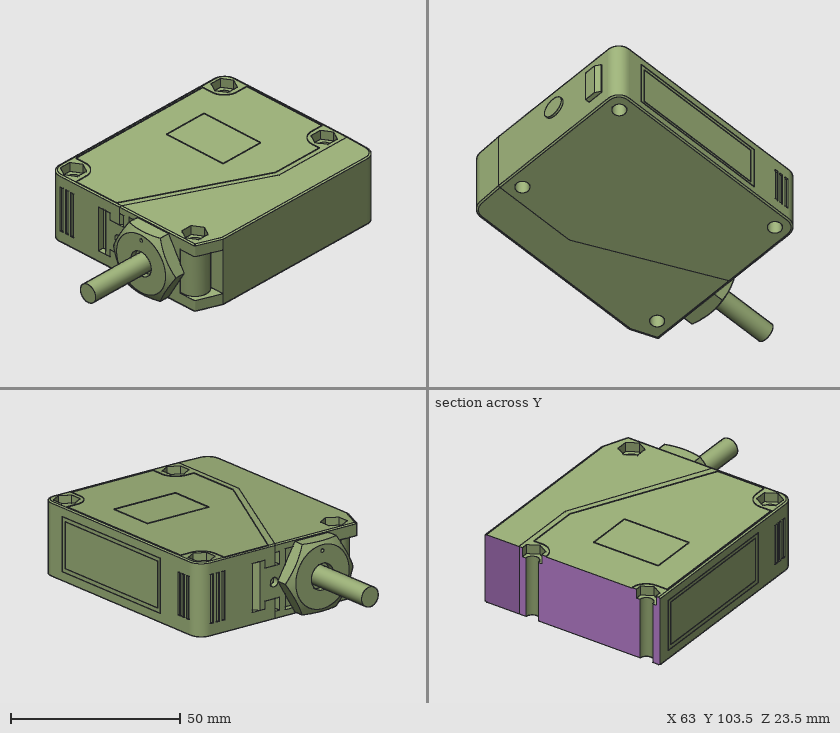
import cadquery as cq
import math


LENGTH = 63.0
DEPTH = 74.4
HEIGHT = 23.5
TOP = HEIGHT / 2
OVERALL = 103.5
CORNER_RADIUS = 4.3
CUT_WIDTH = 3.4
CUT_DEPTH = 8.6
CUT_EDGE_RADIUS = 0.6
BACK_DRAFT = 0.5
RIM_HEIGHT = 0.3
RIM_WIDTH = 0.6

SEAM_BACK_X = 50.8
SEAM_KNEE_Y = 45.1
SEAM_FRONT_X = 28.8
SEAM_SLOPE = (SEAM_BACK_X - SEAM_FRONT_X) / SEAM_KNEE_Y

SCREW_INSET = 5.1
SCREW_BACK_Y = 69.1
SCREW_RIGHT_FRONT_X = 54.9
SCREW_RIGHT_BACK_X = 46.1
HOUSING_SCREWS = [
    (SCREW_INSET, SCREW_INSET),
    (SCREW_INSET, SCREW_BACK_Y),
    (SCREW_RIGHT_BACK_X, SCREW_BACK_Y),
]
TERMINAL_SCREW = (SCREW_RIGHT_FRONT_X, SCREW_INSET)
SCREW_DIAMETER = 4.5
NUT_FLATS = 6.9
NUT_DEPTH = 3.1

LID_RECESS = 0.2
LID_LEFT = 1.1
LID_RIGHT = 49.0
LID_FRONT = 0.8
LID_BACK = DEPTH - 0.9
LID_KNEE_Y = 45.4
LID_FRONT_X = 26.8
SCREW_LAND_RADIUS = 5.1
WINDOW_LEFT = 11.1
WINDOW_FRONT = 38.4
WINDOW_SIZE = (23.2, 15.9)

LENS_CENTER_Y = 41.7
LENS_FRAME_SIZE = (46.6, 17.3)
LENS_SIZE = (43.9, 14.7)
LENS_STEP = 0.1

VENT_WIDTH = 1.1
VENT_PITCH = 2.2
VENT_COUNT = 3
VENT_DEPTH = 0.5
FRONT_VENT_START = 4.5
FRONT_VENT_HEIGHT = 15.3
SIDE_VENT_STARTS = [4.7, 6.8, 8.7]
SIDE_VENT_HEIGHT = 13.5

LATCH_LEFT = 20.2
LATCH_NECK_X = 24.9
LATCH_DEPTH = 2.1
LATCH_BAR_HEIGHT = 15.3
LATCH_NECK_HEIGHT = 10.4
LATCH_RAMP_FOOT = 21.2
LATCH_RAMP_HEAD = 23.1
LATCH_HOLE_X = 28.4
LATCH_HOLE_DIAMETER = 2.9
SEAM_POCKET_RIGHT = 30.4
SEAM_POCKET_HEIGHT = 4.0
SEAM_POCKET_DEPTH = (SEAM_POCKET_RIGHT - SEAM_FRONT_X) / SEAM_SLOPE

SLIDER_LEFT = 6.9
SLIDER_RAMP_HEAD = 8.7
SLIDER_RIGHT = 12.4
SLIDER_EDGE = 0.4
SLIDER_RISE = 1.5
SLIDER_HEIGHT = 12.4
DIAL_X = 27.0
DIAL_Z = 3.8
DIAL_DIAMETER = 7.1
DIAL_RISE = 0.7

GLAND_X = 42.5
GLAND_FLATS = 22.1
GLAND_LENGTH = 5.1
GLAND_FACE_RADIUS = 10.0
GLAND_CHAMFER = 1.6
GLAND_BORE = 8.4
GLAND_BORE_DEPTH = 2.1
GLAND_MARK_Z = 8.2
GLAND_MARK_DIAMETER = 1.0
CABLE_DIAMETER = 6.3
CABLE_END = DEPTH + SLIDER_RISE - OVERALL
GLAND_SEAT_LEFT = 32.6
GLAND_SEAT_HEIGHT = 19.1
GLAND_SEAT_DEPTH = 2.1

POCKET_LEFT = 53.5
POCKET_HEIGHT = 15.3
POCKET_BOSS_RADIUS = 4.7


def box(x, y, z):
    """Box between the (low, high) limits on each axis."""
    block = cq.Workplane("XY").box(x[1] - x[0], y[1] - y[0], z[1] - z[0], centered=False)
    return block.translate((x[0], y[0], z[0]))


def centred_in_z(height):
    return (-height / 2, height / 2)


def prism(points, height):
    """Closed XY outline, extruded evenly about Z = 0."""
    return cq.Workplane("XY").polyline(points).close().extrude(height / 2, both=True)


def rod(x, z, diameter, y_start, y_end):
    """Round rod along Y."""
    plane = cq.Workplane("XZ", origin=(x, y_start, z))
    return plane.circle(diameter / 2).extrude(y_start - y_end)


def screw_cutter(x, y):
    through = cq.Workplane("XY").center(x, y).circle(SCREW_DIAMETER / 2).extrude(TOP, both=True)
    hexagon_diameter = NUT_FLATS / math.cos(math.pi / 6)
    nut = cq.Workplane("XY", origin=(x, y, TOP)).transformed(rotate=(0, 0, 90))
    return through.union(nut.polygon(6, hexagon_diameter).extrude(-NUT_DEPTH))


def make_case():
    """Whole case block, before it is parted along the seam."""
    outline = [
        (0, 0),
        (LENGTH - CUT_WIDTH, 0),
        (LENGTH, CUT_DEPTH),
        (LENGTH, DEPTH - BACK_DRAFT),
        (SEAM_BACK_X, DEPTH),
        (0, DEPTH),
    ]
    case = prism(outline, HEIGHT)
    for x_side, y_side in (("<X", "<Y"), ("<X", ">Y"), (">X", ">Y")):
        case = case.edges("|Z").edges(x_side).edges(y_side).fillet(CORNER_RADIUS)
    case = case.edges("|Z").edges("<Y").edges(">X").fillet(CUT_EDGE_RADIUS)
    case = case.faces(">Z").edges().chamfer(RIM_WIDTH, RIM_HEIGHT)
    case = case.faces("<Z").edges().chamfer(RIM_HEIGHT, RIM_WIDTH)
    for x, y in [*HOUSING_SCREWS, TERMINAL_SCREW]:
        case = case.cut(screw_cutter(x, y))
    return case


def make_housing_region():
    """Everything left of the seam."""
    outline = [(0, 0), (SEAM_FRONT_X, 0), (SEAM_BACK_X, SEAM_KNEE_Y), (SEAM_BACK_X, DEPTH), (0, DEPTH)]
    return prism(outline, HEIGHT)


def make_latch_region():
    """T-shaped space for the latch, wide enough at the right to cross the seam."""
    neck_end = SEAM_FRONT_X + LATCH_DEPTH * SEAM_SLOPE
    bar = box((LATCH_LEFT, LATCH_NECK_X), (0, LATCH_DEPTH), centred_in_z(LATCH_BAR_HEIGHT))
    neck = box((LATCH_NECK_X, neck_end), (0, LATCH_DEPTH), centred_in_z(LATCH_NECK_HEIGHT))
    return bar.union(neck)


def lid_cutter():
    outline = [
        (LID_LEFT, LID_FRONT),
        (LID_FRONT_X, LID_FRONT),
        (LID_RIGHT, LID_KNEE_Y),
        (LID_RIGHT, LID_BACK),
        (LID_LEFT, LID_BACK),
    ]
    lid = cq.Workplane("XY", origin=(0, 0, TOP)).polyline(outline).close().extrude(-LID_RECESS)
    for x, y in HOUSING_SCREWS:
        out_x = -SCREW_LAND_RADIUS if x < LENGTH / 2 else SCREW_LAND_RADIUS
        out_y = -SCREW_LAND_RADIUS if y < DEPTH / 2 else SCREW_LAND_RADIUS
        base = cq.Workplane("XY", origin=(x, y, TOP))
        side = 2 * SCREW_LAND_RADIUS
        lid = lid.cut(base.circle(SCREW_LAND_RADIUS).extrude(-LID_RECESS))
        lid = lid.cut(base.center(out_x, 0).rect(side, side).extrude(-LID_RECESS))
        lid = lid.cut(base.center(0, out_y).rect(side, side).extrude(-LID_RECESS))
    return lid


def window_cutter():
    floor = TOP - 2 * LID_RECESS
    return box(
        (WINDOW_LEFT, WINDOW_LEFT + WINDOW_SIZE[0]),
        (WINDOW_FRONT, WINDOW_FRONT + WINDOW_SIZE[1]),
        (floor, TOP),
    )


def lens_cutter():
    side = cq.Workplane("YZ").center(LENS_CENTER_Y, 0)
    return side.rect(*LENS_FRAME_SIZE).extrude(LENS_STEP).union(side.rect(*LENS_SIZE).extrude(2 * LENS_STEP))


def add_vents(housing):
    for index in range(VENT_COUNT):
        x = FRONT_VENT_START + index * VENT_PITCH
        housing = housing.cut(box((x, x + VENT_WIDTH), (0, VENT_DEPTH), centred_in_z(FRONT_VENT_HEIGHT)))
    for y in SIDE_VENT_STARTS:
        housing = housing.cut(box((0, VENT_DEPTH), (y, y + VENT_WIDTH), centred_in_z(SIDE_VENT_HEIGHT)))
    return housing


def make_slider():
    outline = [
        (SLIDER_LEFT, DEPTH),
        (SLIDER_LEFT, DEPTH + SLIDER_EDGE),
        (SLIDER_RAMP_HEAD, DEPTH + SLIDER_RISE),
        (SLIDER_RIGHT, DEPTH + SLIDER_RISE),
        (SLIDER_RIGHT, DEPTH),
    ]
    return prism(outline, SLIDER_HEIGHT)


def make_housing(case):
    housing = case.intersect(make_housing_region()).cut(make_latch_region())
    housing = housing.cut(lid_cutter()).cut(window_cutter()).cut(lens_cutter())
    housing = add_vents(housing)
    dial = rod(DIAL_X, DIAL_Z, DIAL_DIAMETER, DEPTH, DEPTH + DIAL_RISE)
    return housing.union(make_slider()).union(dial)


def make_latch():
    """Latch that fills its space up to a ramp, which leaves a release slot at the left."""
    slot = [
        (LATCH_LEFT, 0),
        (LATCH_RAMP_HEAD, 0),
        (LATCH_RAMP_FOOT, LATCH_DEPTH),
        (LATCH_LEFT, LATCH_DEPTH),
    ]
    return make_latch_region().cut(prism(slot, LATCH_BAR_HEIGHT))


def make_gland():
    """Hexagonal nut with a turned face, a bore, a mark and the cable."""
    tip_radius = GLAND_FLATS / 2 / math.cos(math.pi / 6)
    nut = cq.Workplane("XZ", origin=(GLAND_X, 0, 0)).polygon(6, 2 * tip_radius).extrude(GLAND_LENGTH)
    profile = [
        (0, 0),
        (tip_radius, 0),
        (tip_radius, GLAND_CHAMFER - GLAND_LENGTH),
        (GLAND_FACE_RADIUS, -GLAND_LENGTH),
        (0, -GLAND_LENGTH),
    ]
    turned = cq.Workplane("XY").polyline(profile).close().revolve(360, (0, 0), (0, 1))
    nut = nut.intersect(turned.translate((GLAND_X, 0, 0)))
    bore_floor = GLAND_BORE_DEPTH - GLAND_LENGTH
    nut = nut.cut(rod(GLAND_X, 0, GLAND_BORE, -GLAND_LENGTH, bore_floor))
    nut = nut.cut(rod(GLAND_X, GLAND_MARK_Z, GLAND_MARK_DIAMETER, -GLAND_LENGTH, bore_floor))
    return nut.union(rod(GLAND_X, 0, CABLE_DIAMETER, CABLE_END, bore_floor))


def side_pocket_cutter():
    """Pocket open to the front and right, wrapped round a boss on the right front screw."""
    boss_front = SCREW_INSET - POCKET_BOSS_RADIUS
    z = centred_in_z(POCKET_HEIGHT)
    pocket = box((POCKET_LEFT, LENGTH), (0, CUT_DEPTH), z)
    boss_plane = cq.Workplane("XY", origin=(*TERMINAL_SCREW, 0)).transformed(rotate=(0, 0, 90))
    pocket = pocket.cut(boss_plane.circle(POCKET_BOSS_RADIUS).extrude(TOP, both=True))
    return pocket.cut(box((POCKET_LEFT, SCREW_RIGHT_FRONT_X), (boss_front, CUT_DEPTH), z))


def add_seam_pockets(base):
    inner = LATCH_NECK_HEIGHT / 2
    outer = inner + SEAM_POCKET_HEIGHT
    for z in ((inner, outer), (-outer, -inner)):
        base = base.cut(box((SEAM_FRONT_X, SEAM_POCKET_RIGHT), (0, SEAM_POCKET_DEPTH), z))
    return base


def make_terminal_base(case):
    base = case.cut(make_housing_region()).union(make_latch())
    base = add_seam_pockets(base)
    base = base.cut(rod(LATCH_HOLE_X, 0, LATCH_HOLE_DIAMETER, 0, LATCH_DEPTH))
    base = base.cut(side_pocket_cutter())
    seat = box((GLAND_SEAT_LEFT, GLAND_X), (0, GLAND_SEAT_DEPTH), centred_in_z(GLAND_SEAT_HEIGHT))
    return base.cut(seat).union(make_gland())


whole_case = make_case()
housing = make_housing(whole_case)
terminal_base = make_terminal_base(whole_case)

result = cq.Compound.makeCompound([housing.solids().val(), terminal_base.solids().val()])